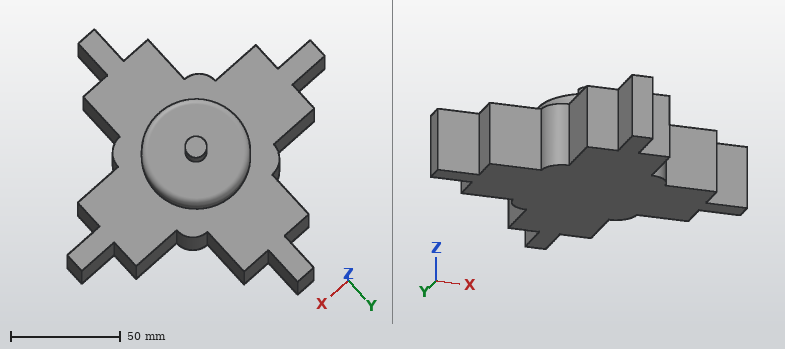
import cadquery as cq

span = 150.0
step = span / 15

base_height = 3 * step
arm_width = 4 * step
arm_span = 11 * step
tip_width = step
hub_side = 6 * step
hub_corner_radius = (hub_side - arm_width) / 2

boss_diameter = 5 * step
boss_height = step
boss_edge_radius = 3.0
pin_diameter = step
pin_height = step


def bar(length, width):
    """Centred bar along X, standing on the bottom plane."""
    return cq.Workplane("XY").box(length, width, base_height, centered=(True, True, False))


def cross_base():
    """Rounded square hub with four stepped arms."""
    base = bar(hub_side, hub_side).edges("|Z").fillet(hub_corner_radius)
    stepped_bar = bar(arm_span, arm_width).union(bar(span, tip_width))
    for angle in (0, 90):
        base = base.union(stepped_bar.rotate((0, 0, 0), (0, 0, 1), angle))
    return base


def boss():
    """Disc with a rounded top edge."""
    disc = cq.Workplane("XY").workplane(offset=base_height).circle(boss_diameter / 2).extrude(boss_height)
    return disc.faces(">Z").edges().fillet(boss_edge_radius)


def pin():
    """Short pin standing on the boss."""
    pin_bottom = base_height + boss_height
    return cq.Workplane("XY").workplane(offset=pin_bottom).circle(pin_diameter / 2).extrude(pin_height)


result = cross_base().union(boss()).union(pin())